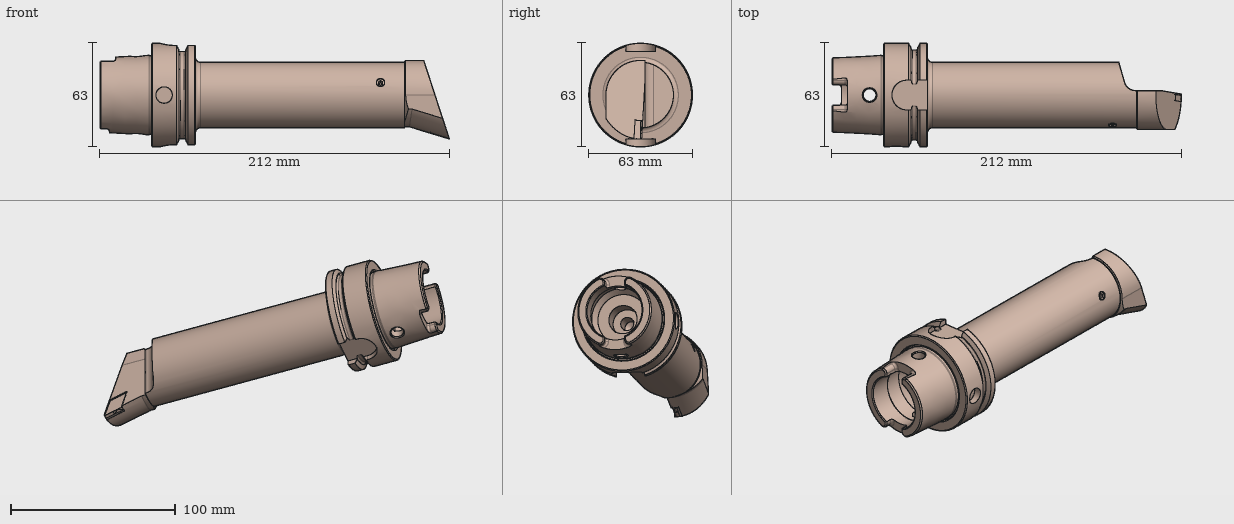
import cadquery as cq
import math

overall_length = 212.0

taper_length = 31.4
taper_mouth_radius = 22.7
taper_land_end = 29.7
taper_ratio = 10
taper_base_radius = taper_mouth_radius + taper_land_end / taper_ratio / 2
taper_mouth_chamfer = 0.8
relief_length = 0.8
relief_depth = 0.2
flange_radius = 63.0 / 2
flange_end = 58.0
flange_edge_chamfer = 0.6
face_recess_radius = 25.5
face_recess_depth = 0.8
face_recess_slope = 0.6

groove_center = 50.0
groove_mouth_width = 7.0
groove_floor_width = 4.0
groove_wall_radius = 28.8
groove_floor_radius = 27.3
groove_corner_radius = 1.0

keyway_width = 18.0
keyway_start = 36.5
keyway_floor = 26.5

flange_hole_diameter = 10.0
flange_hole_center = 39.0
flange_hole_depth = 4.7

bore_radius = 17.0
bore_mouth_chamfer = 0.6
undercut_start = 13.5
undercut_end = 25.5
undercut_radius = 18.5
undercut_angle = 45.0
bore_floor_radius = 15.5
bore_floor = 30.0
tube_hole_radius = 8.7
tube_hole_end = 44.5
drill_radius = 4.0
drill_end = 59.3
drill_tip_angle = 118.0

slot_width = 12.3
top_slot_depth = 9.5
bottom_slot_depth = 5.7
slot_shoulder_height = 20.5
slot_edge_radius = 2.8
slot_corner_radius = 1.5
slot_mouth_chamfer = 0.8
cross_hole_diameter = 7.6
cross_hole_chamfer = 0.6
cross_hole_center = 22.9

bar_radius = 20.0
bar_fillet = 3.0
bar_end = 184.8

gully_start = 174.0
gully_floor = 2.8
gully_angle = 16.0
gully_corner_radius = 6.8

screw_center = 170.2
screw_angle = 23.0
screw_diameter = 5.0
screw_length = 8.5
screw_sink = 1.0
socket_width = 2.5
socket_depth = 3.2

head_step = 1.1
head_radius = bar_radius + head_step
head_back_chamfer = 0.6
end_face_angle = 18.0
underside_angle = 17.0
underside_radius = 25.9
underside_base_height = -19.3
tip_height = -26.7
tip_offset = -0.2
rake_angle = 3.2
rake_step = 0.8

insert_edge = 11.9
insert_thickness = 3.8

round_middle = 1 - math.sqrt(0.5)

clear = 84.8


def x_cylinder(radius, start, end):
    """Cylinder about the X axis."""
    return cq.Workplane("YZ", origin=(start, 0, 0)).circle(radius).extrude(end - start)


def revolve_about_x(points):
    """Solid of revolution about X of a closed outline of (x, radius) points."""
    return cq.Workplane("XZ").polyline(points).close().revolve(360, (0, 0, 0), (1, 0, 0))


def taper_and_flange():
    """Taper, flange and bar, turned about X before the groove, bore and slots are cut."""
    relief_radius = taper_base_radius - relief_depth
    recess_floor = taper_length + face_recess_depth
    fillet_start = (flange_end, bar_radius + bar_fillet)
    fillet_middle = (
        flange_end + bar_fillet * round_middle,
        bar_radius + bar_fillet * round_middle,
    )
    return (
        cq.Workplane("XZ")
        .moveTo(0, 0)
        .lineTo(0, taper_mouth_radius - taper_mouth_chamfer)
        .lineTo(taper_mouth_chamfer, taper_mouth_radius)
        .lineTo(taper_land_end, taper_base_radius)
        .lineTo(taper_land_end + relief_length, relief_radius)
        .lineTo(recess_floor, relief_radius)
        .lineTo(recess_floor, face_recess_radius - face_recess_slope)
        .lineTo(taper_length, face_recess_radius)
        .lineTo(taper_length, flange_radius - flange_edge_chamfer)
        .lineTo(taper_length + flange_edge_chamfer, flange_radius)
        .lineTo(flange_end - flange_edge_chamfer, flange_radius)
        .lineTo(flange_end, flange_radius - flange_edge_chamfer)
        .lineTo(*fillet_start)
        .threePointArc(fillet_middle, (flange_end + bar_fillet, bar_radius))
        .lineTo(bar_end, bar_radius)
        .lineTo(bar_end, 0)
        .close()
        .revolve(360, (0, 0, 0), (1, 0, 0))
    )


def gripper_groove():
    """Ring that cuts the groove: flared mouth, straight walls and rounded floor corners."""
    half_mouth = groove_mouth_width / 2
    half_floor = groove_floor_width / 2
    ring = revolve_about_x([
        (groove_center - half_floor, groove_floor_radius),
        (groove_center - half_floor, groove_wall_radius),
        (groove_center - half_mouth, flange_radius),
        (groove_center - half_mouth, clear),
        (groove_center + half_mouth, clear),
        (groove_center + half_mouth, flange_radius),
        (groove_center + half_floor, groove_wall_radius),
        (groove_center + half_floor, groove_floor_radius),
    ])
    floor_edges = cq.selectors.RadiusNthSelector(0)
    return ring.edges(floor_edges).fillet(groove_corner_radius)


def flange_keyway(side):
    """Round-ended keyway on the +Z (side = 1) or -Z (side = -1) of the flange."""
    radius = keyway_width / 2
    round_center = keyway_start + radius
    keyway = cq.Workplane("XY").center(round_center, 0).circle(radius).extrude(clear)
    straight = (
        cq.Workplane("XY")
        .center((round_center + flange_end) / 2, 0)
        .rect(flange_end - round_center, keyway_width)
        .extrude(clear)
    )
    keyway = keyway.union(straight).translate((0, 0, keyway_floor))
    return keyway if side > 0 else keyway.mirror("XY")


def flange_hole():
    hole = cq.Workplane("XZ", origin=(flange_hole_center, 0, 0)).circle(flange_hole_diameter / 2)
    return hole.extrude(clear).translate((0, flange_hole_depth - flange_radius, 0))


def taper_bore():
    """Stepped bore from the taper mouth, down to the cone of the central drill hole."""
    drill_cone = drill_radius / math.tan(math.radians(drill_tip_angle / 2))
    undercut_run = (undercut_radius - bore_radius) / math.tan(math.radians(undercut_angle))
    return revolve_about_x([
        (0, 0),
        (0, bore_radius + bore_mouth_chamfer),
        (bore_mouth_chamfer, bore_radius),
        (undercut_start, bore_radius),
        (undercut_start + undercut_run, undercut_radius),
        (undercut_end, undercut_radius),
        (bore_floor, bore_floor_radius),
        (bore_floor, tube_hole_radius),
        (tube_hole_end, tube_hole_radius),
        (tube_hole_end, drill_radius),
        (drill_end, drill_radius),
        (drill_end + drill_cone, 0),
    ])


def slot_outline(sketch, growth):
    """Drive slot section with its shoulder, moved outward by the growth, on a YZ workplane."""
    half_width = slot_width / 2 + growth
    shoulder = slot_shoulder_height - growth
    radius = slot_edge_radius - growth
    round_start = shoulder - radius
    round_side = radius * round_middle
    round_end = half_width + radius
    return (
        sketch.moveTo(-half_width, 0)
        .lineTo(-half_width, round_start)
        .threePointArc((-half_width - round_side, shoulder - round_side), (-round_end, shoulder))
        .lineTo(-clear, shoulder)
        .lineTo(-clear, clear)
        .lineTo(clear, clear)
        .lineTo(clear, shoulder)
        .lineTo(round_end, shoulder)
        .threePointArc((half_width + round_side, shoulder - round_side), (half_width, round_start))
        .lineTo(half_width, 0)
        .close()
    )


def drive_slot(depth, side):
    """Slot in the taper mouth with a flat shoulder beside it, on the +Z or -Z side."""
    slot = slot_outline(cq.Workplane("YZ"), 0).extrude(depth)
    inner_corners = cq.selectors.BoxSelector(
        (depth - slot_corner_radius, -slot_width, 0),
        (depth + slot_corner_radius, slot_width, slot_shoulder_height),
    )
    slot = slot.edges("|Z").edges(inner_corners).fillet(slot_corner_radius)
    mouth = slot_outline(cq.Workplane("YZ"), slot_mouth_chamfer)
    mouth = slot_outline(mouth.workplane(offset=slot_mouth_chamfer), 0).loft(ruled=True)
    slot = slot.union(mouth)
    return slot if side > 0 else slot.mirror("XY")


def cut_cross_hole(holder):
    """Drills the hole through both sides of the taper and bevels its two outer rims."""
    radius = cross_hole_diameter / 2
    hole = cq.Workplane("XY").center(cross_hole_center, 0).circle(radius).extrude(clear, both=True)
    holder = holder.cut(hole)
    for side in (1, -1):
        rim = cq.selectors.NearestToPointSelector((cross_hole_center, 0, side * taper_base_radius))
        holder = holder.faces("%CONE").edges(rim).chamfer(cross_hole_chamfer)
    return holder


def chip_gully():
    """Clears everything above the gully floor, from a sloped wall to the tip."""
    slope = math.tan(math.radians(gully_angle))
    wall_bottom = gully_start + (bar_radius - gully_floor) * slope
    wall_top = gully_start - (clear - bar_radius) * slope
    gully = (
        cq.Workplane("XY", origin=(0, 0, -clear))
        .moveTo(wall_top, clear)
        .lineTo(wall_bottom, gully_floor)
        .lineTo(overall_length + clear, gully_floor)
        .lineTo(overall_length + clear, clear)
        .close()
        .extrude(2 * clear)
    )
    corner = cq.selectors.NearestToPointSelector((wall_bottom, gully_floor, 0))
    return gully.edges(corner).fillet(gully_corner_radius)


def screw_plane(radius):
    """Plane square to the set screw, with its normal pointing out of the bar."""
    angle = math.radians(screw_angle)
    outward = cq.Vector(0, -math.cos(angle), math.sin(angle))
    origin = cq.Vector(screw_center, 0, 0) + outward * radius
    return cq.Plane(origin=origin, xDir=(1, 0, 0), normal=outward)


def screw_hole():
    bottom = bar_radius - screw_sink - screw_length
    return cq.Workplane(screw_plane(bottom)).circle(screw_diameter / 2).extrude(clear)


def make_holder():
    holder = taper_and_flange().cut(gripper_groove()).cut(taper_bore())
    for side, slot_depth in ((1, top_slot_depth), (-1, bottom_slot_depth)):
        holder = holder.cut(flange_keyway(side)).cut(drive_slot(slot_depth, side))
    holder = holder.cut(flange_hole()).cut(chip_gully()).cut(screw_hole())
    return cut_cross_hole(holder)


def make_set_screw():
    """Set screw with a hexagon socket, sunk below the surface of the bar."""
    top = bar_radius - screw_sink
    screw = cq.Workplane(screw_plane(top)).circle(screw_diameter / 2).extrude(-screw_length)
    socket = cq.Workplane(screw_plane(top)).polygon(6, socket_width, circumscribed=True)
    return screw.cut(socket.extrude(-socket_depth))


def rake_plane(offset):
    """Plane parallel to the insert's face; at offset 0 it passes through the cutting tip."""
    angle = math.radians(rake_angle)
    normal = cq.Vector(0, math.cos(angle), -math.sin(angle))
    origin = cq.Vector(overall_length, tip_offset, tip_height) + normal * offset
    return cq.Plane(origin=origin, xDir=(-1, 0, 0), normal=normal)


def insert_prism(top):
    """Rhombus with one corner at the tip, from the insert's seat up to a height above its face."""
    end_angle = math.radians(90 - end_face_angle)
    under_angle = math.radians(underside_angle)
    end_x = insert_edge * math.cos(end_angle)
    end_z = insert_edge * math.sin(end_angle)
    under_x = insert_edge * math.cos(under_angle)
    under_z = insert_edge * math.sin(under_angle)
    return (
        cq.Workplane(rake_plane(-insert_thickness))
        .polyline([(0, 0), (end_x, end_z), (end_x + under_x, end_z + under_z), (under_x, under_z)])
        .close()
        .extrude(insert_thickness + top)
    )


def make_insert():
    return insert_prism(0)


def head_blank():
    """Head cross-section: round above the axis, and a flat flank straight down on the -Y side."""
    return (
        cq.Workplane("YZ", origin=(bar_end, 0, 0))
        .moveTo(-head_radius, 0)
        .threePointArc((0, head_radius), (head_radius, 0))
        .lineTo(head_radius, -clear)
        .lineTo(-head_radius, -clear)
        .close()
        .extrude(overall_length - bar_end)
    )


def head_back_cone():
    """Cone that bevels the back of the head at 45 degrees."""
    start_radius = head_radius - head_back_chamfer
    length = overall_length - bar_end
    return revolve_about_x([
        (bar_end, 0),
        (bar_end, start_radius),
        (overall_length, start_radius + length),
        (overall_length, 0),
    ])


def head_underside():
    """A straight cylinder joined to one that slopes down and passes through the tip."""
    straight = x_cylinder(underside_radius, bar_end - clear, overall_length + clear)
    straight = straight.translate((0, 0, underside_base_height + underside_radius))
    sloped = x_cylinder(underside_radius, -clear, clear).translate((0, 0, underside_radius))
    sloped = sloped.rotate((0, 0, 0), (0, 1, 0), underside_angle)
    return straight.union(sloped.translate((overall_length, 0, tip_height)))


def head_end_cut():
    """Everything beyond the sloped end face, which passes through the tip."""
    run = 2 * clear * math.tan(math.radians(end_face_angle))
    return (
        cq.Workplane("XZ")
        .moveTo(overall_length + run, tip_height - 2 * clear)
        .lineTo(overall_length - run, tip_height + 2 * clear)
        .lineTo(overall_length + run, tip_height + 2 * clear)
        .close()
        .extrude(clear, both=True)
    )


def make_head():
    head = head_blank().intersect(head_back_cone()).intersect(head_underside())
    head = head.cut(head_end_cut()).cut(chip_gully())
    rake_cut = cq.Workplane(rake_plane(rake_step)).rect(2 * clear, 2 * clear).extrude(clear)
    return head.cut(rake_cut).cut(insert_prism(clear))


holder = make_holder()
head = make_head()
insert = make_insert()
set_screw = make_set_screw()

result = cq.Compound.makeCompound([holder.val(), head.val(), insert.val(), set_screw.val()])